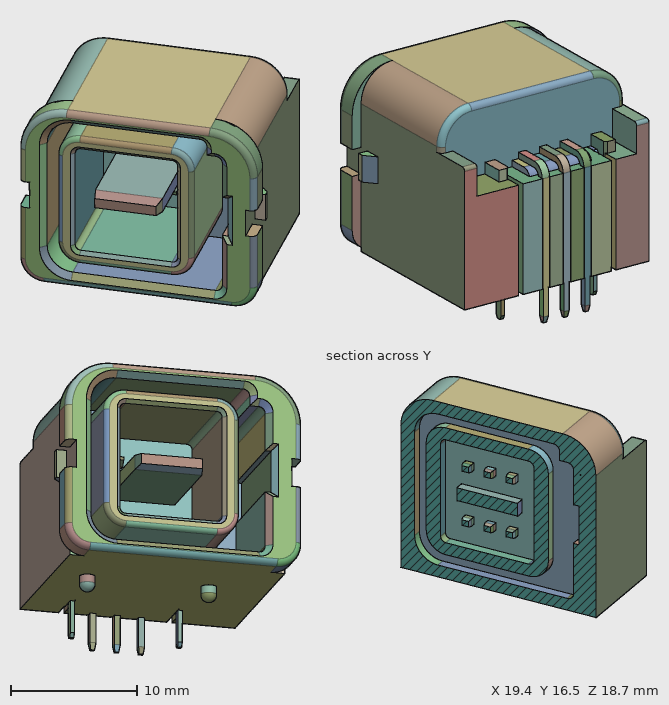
import cadquery as cq

body_width = 17.7
height = 15.7
roof_depth = 13.1
total_depth = 16.5
rear_wall_height = 12.2
body_corner = 3.0
edge_round = 0.5
rear_wall = 1.2
rear_edge_round = 0.3
rear_block_height = 9.5

flange_width = 19.4
flange_depth = 2.0
flange_top_corner = body_corner + (flange_width - body_width) / 2
flange_bottom_corner = 2.0

latch_bottom = 6.65
latch_top = 8.95
wedge_start = 2.9
wedge_flat_end = 3.4
wedge_end = 4.37

cavity_depth = 9.0
cavity_left = -7.55
cavity_right = 6.8
cavity_bottom = 1.1
cavity_top = 14.55
cavity_left_corner = 2.1
cavity_right_corner = 0.55
entry_chamfer = 0.5
step_x = 5.53
step_z = 13.2
key_right = 7.27
key_bottom = 6.15
key_top = 9.57

center_x = -1.0
center_z = height / 2
shroud_width = 11.1
shroud_height = 11.38
shroud_corner = 1.8
shroud_round = 0.4
socket_width = 8.4
socket_height = 9.15
socket_corner = 0.45
socket_chamfer = 0.3

blade_width = 5.5
blade_height = 1.18
blade_tip_width = 5.04
blade_tip_height = 0.82
blade_taper_length = 1.1

contact_pitch = 2.0
contact_row_offset = 2.42
contact_width = 0.76
contact_height = 0.66
contact_tip_width = 0.3
contact_tip_height = 0.26
contact_taper_length = 1.1
contact_front = 7.5

tail_length = 3.0
tail_width = 0.5
tail_thickness = 0.55
tail_back = 16.43
tail_bend_radius = 1.15
tail_tip_length = 0.57
tail_tip_width = 0.33
tail_tip_thickness = 0.28
tail_head_width = 0.7
tail_head_top = 10.6

carrier_left = -3.97
carrier_right = 1.97
carrier_back = 15.64
carrier_round = 0.9

ground_offset = 4.435
ground_thickness = 0.34
ground_width = 0.7
ground_front = 13.26
ground_shoulder_back = 14.24
ground_shoulder_chamfer = 0.3
ground_tip_length = 0.35
ground_tip_width = 0.35
slot_inner_offset = 4.23
slot_outer_offset = 4.67

support_inner_offset = 4.6
support_outer_offset = 5.58
support_back = 15.1
support_chamfer = 0.22
support_height = 10.5

peg_offset = 5.0
peg_y = 7.0
peg_radius = 0.63
peg_length = 1.26


def box(x0, x1, y0, y1, z0, z1):
    """Block between the given limits."""
    return cq.Workplane("XY").box(x1 - x0, y1 - y0, z1 - z0, centered=False).translate((x0, y0, z0))


def profile_plane(y):
    """XZ sketch plane at depth y; a negative extrusion runs toward +Y."""
    return cq.Workplane("XZ", origin=(0, y, 0))


def centered_block(x, z, width, tall, y0, y1):
    """Block along Y centred on (x, z)."""
    return box(x - width / 2, x + width / 2, y0, y1, z - tall / 2, z + tall / 2)


def mirrored_box(offset_a, offset_b, *limits):
    """The same block on the left and right of the contact field."""
    left = box(center_x - offset_b, center_x - offset_a, *limits)
    right = box(center_x + offset_a, center_x + offset_b, *limits)
    return left, right


def make_flange():
    half = flange_width / 2
    flange = box(-half, half, 0, flange_depth, 0, height)
    flange = flange.edges("|Y and >Z").fillet(flange_top_corner)
    flange = flange.edges("|Y and <Z").fillet(flange_bottom_corner)
    flange = flange.faces("<Y").edges().fillet(edge_round)
    for x0, x1 in ((-half, -body_width / 2), (body_width / 2, half)):
        flange = flange.cut(box(x0, x1, 0, flange_depth, latch_bottom, latch_top))
    return flange


def make_body():
    half = body_width / 2
    front = box(-half, half, flange_depth, roof_depth, 0, height)
    front = front.edges("|Y and >Z").fillet(body_corner)
    front = front.faces(">Y").edges("not <Z").fillet(edge_round)

    rear = box(-half, half, roof_depth - edge_round, total_depth, 0, rear_wall_height)
    rear = rear.edges(">Y and >Z").fillet(rear_edge_round)
    bay_half = half - rear_wall
    bay = box(-bay_half, bay_half, roof_depth, total_depth, rear_block_height, rear_wall_height)
    return front.union(rear.cut(bay))


def make_wedge():
    base = body_width / 2
    tip = flange_width / 2
    root = base - rear_wall / 2
    outline = [
        (root, wedge_start),
        (tip, wedge_start),
        (tip, wedge_flat_end),
        (base, wedge_end),
        (root, wedge_end),
    ]
    return (
        cq.Workplane("XY", origin=(0, 0, latch_bottom))
        .polyline(outline).close().extrude(latch_top - latch_bottom)
    )


def make_opening(x0, x1, z0, z1, left_corner=0, right_corner=0):
    """Recess with rounded vertical sides and a 45 degree entry chamfer."""
    opening = box(x0, x1, 0, cavity_depth, z0, z1)
    entry = box(
        x0 - entry_chamfer, x1 + entry_chamfer, 0, entry_chamfer, z0 - entry_chamfer, z1 + entry_chamfer
    )
    for side, corner in (("<X", left_corner), (">X", right_corner)):
        if corner:
            opening = opening.edges("|Y").edges(side).fillet(corner)
            entry = entry.edges("|Y").edges(side).fillet(corner + entry_chamfer)
    mouth = entry.faces("<Y").wires().vals()
    entry = profile_plane(0).newObject(mouth).toPending().extrude(-entry_chamfer, taper=45)
    return opening.union(entry)


def cut_cavity(part):
    corners = (cavity_left_corner, cavity_right_corner)
    tall = make_opening(cavity_left, step_x, cavity_bottom, cavity_top, *corners)
    wide = make_opening(cavity_left, cavity_right, cavity_bottom, step_z, *corners)
    key = make_opening(step_x, key_right, key_bottom, key_top)
    return part.cut(tall).cut(wide).cut(key)


def make_shroud():
    shroud = centered_block(center_x, center_z, shroud_width, shroud_height, 0, cavity_depth)
    shroud = shroud.edges("|Y").fillet(shroud_corner)
    shroud = shroud.faces("<Y").edges().fillet(shroud_round)
    socket = centered_block(center_x, center_z, socket_width, socket_height, 0, cavity_depth)
    socket = socket.edges("|Y").fillet(socket_corner)
    shroud = shroud.cut(socket)
    return shroud.faces("<Y").wires(cq.selectors.AreaNthSelector(0)).chamfer(socket_chamfer)


def tapered_bar(x, z, size, tip_size, front, taper_length):
    """Bar along Y from the socket floor, narrowing to a flat tip."""
    shoulder = front + taper_length
    bar = centered_block(x, z, *size, shoulder, roof_depth)
    tip = (
        cq.Workplane("XZ", origin=(x, front, z)).rect(*tip_size)
        .workplane(offset=-taper_length).rect(*size).loft()
    )
    return bar.union(tip)


def make_contact_tail(x):
    head_left = x - tail_head_width / 2
    head_right = x + tail_head_width / 2
    tail_front = tail_back - tail_thickness
    head_bottom = tail_head_top - tail_thickness
    head = box(head_left, head_right, roof_depth - edge_round, tail_back, 0, tail_head_top)
    head = head.edges(">Y and >Z").fillet(tail_bend_radius)
    inside = box(head_left, head_right, roof_depth - edge_round, tail_front, 0, head_bottom)
    inside = inside.edges(">Y and >Z").fillet(tail_bend_radius - tail_thickness)
    tail_y = tail_back - tail_thickness / 2
    leg = box(x - tail_width / 2, x + tail_width / 2, tail_front, tail_back, tail_tip_length - tail_length, 0)
    tip = (
        cq.Workplane("XY", origin=(x, tail_y, -tail_length)).rect(tail_tip_width, tail_tip_thickness)
        .workplane(offset=tail_tip_length).rect(tail_width, tail_thickness).loft()
    )
    return head.cut(inside).union(leg).union(tip)


def make_ground_tail(side):
    x0 = center_x + side * ground_offset - ground_thickness / 2
    x1 = x0 + ground_thickness
    shoulder = box(x0, x1, roof_depth - edge_round, ground_shoulder_back, 0, rear_block_height)
    shoulder = shoulder.edges(">Y and >Z").chamfer(ground_shoulder_chamfer)
    leg = box(x0, x1, ground_front, ground_front + ground_width, -tail_length, 0)
    tip_inset = (ground_width - ground_tip_width) / 2
    leg = leg.faces("<Z").edges("|X").chamfer(ground_tip_length, tip_inset)
    return shoulder.union(leg)


def make_supports():
    left, right = mirrored_box(
        support_inner_offset, support_outer_offset, roof_depth - edge_round, support_back, 0, support_height
    )
    left = left.edges(">X and >Y").chamfer(support_chamfer)
    right = right.edges("<X and >Y").chamfer(support_chamfer)
    return left.union(right)


def make_peg(x):
    peg = cq.Workplane("XY", origin=(x, peg_y, 0)).circle(peg_radius).extrude(peg_radius - peg_length)
    dome = cq.Workplane("XY").sphere(peg_radius).translate((x, peg_y, peg_radius - peg_length))
    return peg.union(dome)


result = make_body().union(make_flange())
result = cut_cavity(result)
result = result.union(make_shroud())
wedge = make_wedge()
result = result.union(wedge).union(wedge.mirror("YZ"))

for slot in mirrored_box(
    slot_inner_offset, slot_outer_offset, roof_depth, total_depth, 0, rear_block_height
):
    result = result.cut(slot)
contact_columns = [center_x + i * contact_pitch for i in (-1, 0, 1)]
for x in contact_columns:
    groove_left = x - tail_head_width / 2
    groove_right = x + tail_head_width / 2
    groove_front = tail_back - tail_thickness
    result = result.cut(box(groove_left, groove_right, groove_front, total_depth, 0, rear_block_height))
result = result.union(make_supports())
carrier_top = tail_head_top - tail_thickness
carrier = box(carrier_left, carrier_right, roof_depth - edge_round, carrier_back, 0, carrier_top)
result = result.union(carrier.edges(">Y and >Z").fillet(carrier_round))

result = result.union(tapered_bar(
    center_x, center_z,
    (blade_width, blade_height), (blade_tip_width, blade_tip_height),
    0, blade_taper_length,
))
for x in contact_columns:
    for row in (-1, 1):
        result = result.union(tapered_bar(
            x, center_z + row * contact_row_offset,
            (contact_width, contact_height), (contact_tip_width, contact_tip_height),
            contact_front, contact_taper_length,
        ))
    result = result.union(make_contact_tail(x))

for side in (-1, 1):
    result = result.union(make_ground_tail(side))
    result = result.union(make_peg(center_x + side * peg_offset))